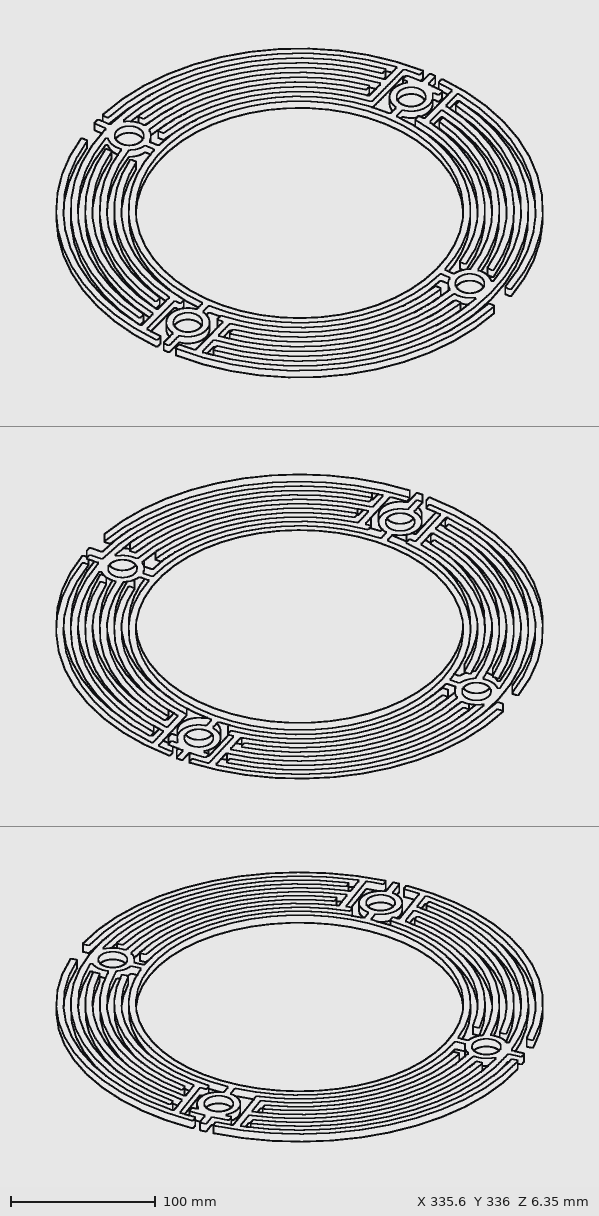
import cadquery as cq
import math


THICKNESS = 6.35
OUTER_RADIUS = 168.0
STRIP = 5.0
GAP = 5.0
PITCH = STRIP + GAP
TRACKS = 6
TRACK_RADII = [OUTER_RADIUS - STRIP - PITCH * (TRACKS - 1 - i) for i in range(TRACKS)]
INNER_RING, COMB_INNER, FRAME_INNER, COMB_MIDDLE, FRAME_OUTER, COMB_OUTER = TRACK_RADII

HUB_CENTRE_RADIUS = (FRAME_INNER + COMB_MIDDLE + STRIP) / 2
HOLE_RADIUS = 10.0
HUB_RADIUS = HOLE_RADIUS + STRIP

BAR_START = HUB_RADIUS + GAP
BAR_END = BAR_START + STRIP
FRAME_ARC_END = BAR_END + GAP
SPOKE_HALF = STRIP / 2
OUTER_ARC_START = SPOKE_HALF + GAP
FOOT_START = HUB_RADIUS

MIDDLE_TIP = HUB_RADIUS + GAP
INNER_TIP = HUB_RADIUS
LEFT_OUTER_TIP = SPOKE_HALF + GAP
RIGHT_OUTER_TIP = 10.0
CORNER_RADIUS = 1.0
REACH = 2 * OUTER_RADIUS


def block(x_min, x_max, y_min, y_max):
    """Full-thickness rectangular block."""
    return (
        cq.Workplane("XY")
        .box(x_max - x_min, y_max - y_min, THICKNESS, centered=False)
        .translate((x_min, y_min, 0))
    )


def disc(radius, x=0, y=0):
    return cq.Workplane("XY").center(x, y).circle(radius).extrude(THICKNESS)


def ring_band(inner_radius, outer_radius):
    return disc(outer_radius).cut(disc(inner_radius))


def ring(inner_radius):
    """Full ring, one strip wide."""
    return ring_band(inner_radius, inner_radius + STRIP)


def quarter_arc(inner_radius, x_min, y_min):
    """The part of a ring in the +X +Y quadrant that lies beyond x_min and y_min."""
    return ring(inner_radius).intersect(block(x_min, REACH, y_min, REACH))


def round_corners(body):
    return body.edges("|Z").fillet(CORNER_RADIUS)


def build_frame():
    frame = ring(INNER_RING)

    side_arcs = ring(FRAME_INNER).union(ring(FRAME_OUTER))
    frame = frame.union(side_arcs.cut(block(-FRAME_ARC_END, FRAME_ARC_END, -REACH, REACH)))

    frame = frame.union(ring(FRAME_OUTER).intersect(block(-HUB_RADIUS, HUB_RADIUS, 0, REACH)))

    spokes = block(-REACH, FRAME_OUTER, -SPOKE_HALF, SPOKE_HALF)
    spokes = spokes.union(block(-SPOKE_HALF, SPOKE_HALF, -REACH, REACH))
    spokes = spokes.intersect(ring_band(INNER_RING, OUTER_RADIUS))
    frame = frame.union(spokes)

    for quarter in range(4):
        angle = math.radians(90 * quarter)
        x = HUB_CENTRE_RADIUS * math.cos(angle)
        y = HUB_CENTRE_RADIUS * math.sin(angle)
        frame = frame.union(disc(HUB_RADIUS, x, y)).cut(disc(HOLE_RADIUS, x, y))
    return round_corners(frame)


def build_comb(outer_tip, inner_tip, foot_start):
    """Comb in the +X +Y quadrant: three arcs joined by a straight bar along Y."""
    bar = block(BAR_START, BAR_END, 0, REACH).intersect(ring_band(COMB_INNER, OUTER_RADIUS))
    comb = (
        bar
        .union(quarter_arc(COMB_OUTER, OUTER_ARC_START, outer_tip))
        .union(quarter_arc(COMB_MIDDLE, BAR_START, MIDDLE_TIP))
        .union(quarter_arc(COMB_INNER, foot_start, inner_tip))
    )
    return round_corners(comb)


COMBS = [
    (False, False, RIGHT_OUTER_TIP, INNER_TIP, FOOT_START),
    (True, False, LEFT_OUTER_TIP, INNER_TIP, BAR_START),
    (True, True, MIDDLE_TIP, MIDDLE_TIP, FOOT_START),
    (False, True, RIGHT_OUTER_TIP, INNER_TIP, FOOT_START),
]

frame = build_frame()
combs = []
for to_left, to_bottom, outer_tip, inner_tip, foot_start in COMBS:
    comb = build_comb(outer_tip, inner_tip, foot_start)
    if to_left:
        comb = comb.mirror("YZ")
    if to_bottom:
        comb = comb.mirror("XZ")
    combs.append(comb)

result = cq.Compound.makeCompound([frame.val(), *[comb.val() for comb in combs]])